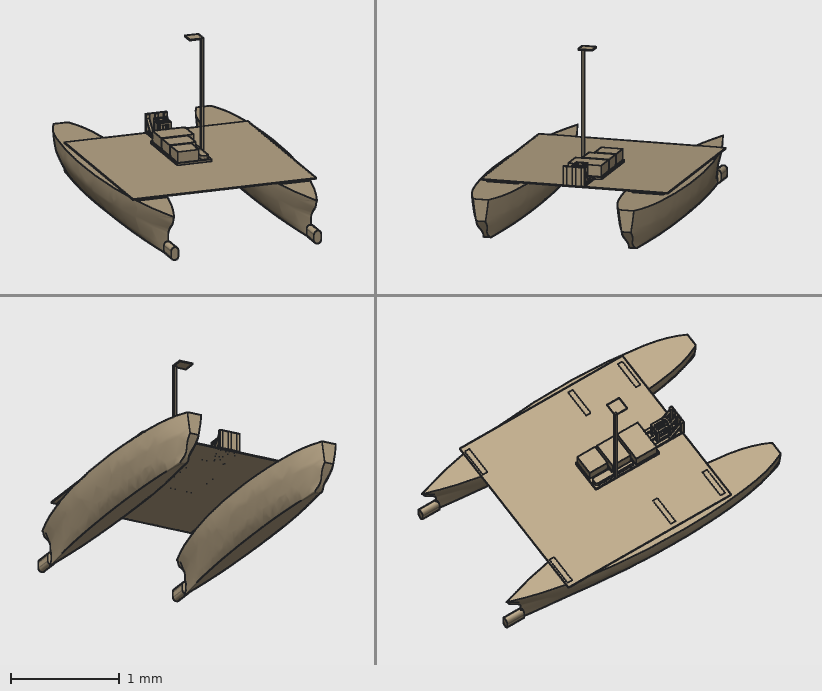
import cadquery as cq
HULL_SPACING = 1.4
HULL_HALF_BEAM = 0.255
HULL_HEIGHT = 0.41
TRANSOM_X = -1.5
FOREFOOT_X = 1.323

WATERLINES = [
    (0.0, -1.26, 0.018, 0.085, FOREFOOT_X),
    (0.035, -1.347, 0.025, 0.125, FOREFOOT_X),
    (0.115, -1.42, 0.035, 0.183, FOREFOOT_X),
    (0.205, -1.5, 0.045, 0.225, 1.332),
    (0.25, -1.53, 0.035, 0.243, 1.353),
    (0.315, -1.56, 0.027, HULL_HALF_BEAM, 1.425),
    (0.38, -1.585, 0.02, HULL_HALF_BEAM, 1.467),
    (HULL_HEIGHT, -1.59, 0.018, HULL_HALF_BEAM, 1.488),
]
SIDE_SHAPE = [(0.1, 0.61), (0.2, 0.83), (0.42, 1.0), (0.64, 0.89), (0.82, 0.58)]

TUBE_START_X = 1.31
TUBE_END_X = 1.5
TUBE_WIDTH = 0.072
TUBE_HEIGHT = 0.125

DECK_SIZE = 1.8
DECK_THICKNESS = 0.01
DECK_CENTER_X = 0.033
PAD_THICKNESS = 0.02
PAD_LENGTH = 0.05
PAD_WIDTH = 0.3
PAD_CENTERS_X = (-0.807, -0.258, 0.885)
DECK_BOTTOM = HULL_HEIGHT + PAD_THICKNESS
DECK_TOP = DECK_BOTTOM + DECK_THICKNESS

TRAY_X = (-0.56, 0.14)
TRAY_HALF_WIDTH = 0.168
TRAY_THICKNESS = 0.02
TRAY_TOP = DECK_TOP + TRAY_THICKNESS
BOX_HEIGHT = 0.105
BOX_NEAR_Y = -0.16
BOXES = [(-0.54, -0.312, 0.16), (-0.29, -0.09, 0.1), (-0.07, 0.13, 0.048)]
CANISTER_X = (-0.07, 0.123)
CANISTER_Y = (0.075, 0.147)
CANISTER_HEIGHT = 0.035
CANISTER_CORNER = 0.025
PIPE_X = (-0.29, -0.07)
PIPE_WIDTH = 0.03

MAST_TOP = 1.57
MAST_SIDE = 0.025
MAST_CORNER_X = -0.072
ANTENNA_SIDE = 0.135
ANTENNA_THICKNESS = 0.01

FRAME_START_X = -0.88
FRAME_TOP = 0.62
RAIL_WIDTH = 0.03
RAIL_OFFSET_Y = 0.087
PANEL_THICKNESS = 0.01
BRACE_TOP_Z = 0.582
BRACE_FOOT_X = -0.723
BRACE_THICKNESS = 0.018
CAGE_X = (-0.78, -0.615)
CAGE_HALF_WIDTH = 0.055
CAGE_TOP = 0.603
CAGE_BAR = 0.025


def block(x_range, y_range, z_range):
    """Box given by its extent along each axis."""
    return cq.Workplane("XY").box(
        x_range[1] - x_range[0],
        y_range[1] - y_range[0],
        z_range[1] - z_range[0],
        centered=False,
    ).translate((x_range[0], y_range[0], z_range[0]))


def waterline(z, stern_x, stern_half, half_beam, stem_x):
    """Closed hull outline at one height: flat stern, two curved sides, pointed stem."""
    length = stem_x - stern_x
    side = [(stern_x, stern_half)]
    side += [(stern_x + along * length, out * half_beam) for along, out in SIDE_SHAPE]
    side.append((stem_x, 0.0))
    port = cq.Edge.makeSpline([cq.Vector(x, y, z) for x, y in side])
    starboard = cq.Edge.makeSpline([cq.Vector(x, -y, z) for x, y in reversed(side)])
    stern = cq.Edge.makeLine(cq.Vector(stern_x, -stern_half, z), cq.Vector(stern_x, stern_half, z))
    return cq.Wire.assembleEdges([port, starboard, stern])


def make_shell():
    """Body lofted through the waterlines and cut off flat at the transom."""
    body = cq.Workplane(cq.Solid.makeLoft([waterline(*line) for line in WATERLINES]))
    stern_overhang = block(
        (TRANSOM_X - HULL_HALF_BEAM, TRANSOM_X),
        (-HULL_HALF_BEAM, HULL_HALF_BEAM),
        (0, HULL_HEIGHT),
    )
    return body.cut(stern_overhang)


def make_bow_tube():
    return (
        cq.Workplane("YZ", origin=(TUBE_START_X, 0, TUBE_HEIGHT / 2))
        .slot2D(TUBE_HEIGHT, TUBE_WIDTH, 90)
        .extrude(TUBE_END_X - TUBE_START_X)
    )


def make_hull(center_y):
    return make_shell().union(make_bow_tube()).translate((0, center_y, 0))


def make_deck():
    deck = (
        cq.Workplane("XY", origin=(DECK_CENTER_X, 0, DECK_BOTTOM))
        .rect(DECK_SIZE, DECK_SIZE)
        .extrude(DECK_THICKNESS)
    )
    pad_centers = [(x, side * HULL_SPACING / 2) for x in PAD_CENTERS_X for side in (-1, 1)]
    pads = (
        cq.Workplane("XY", origin=(0, 0, HULL_HEIGHT))
        .pushPoints(pad_centers)
        .rect(PAD_LENGTH, PAD_WIDTH)
        .extrude(PAD_THICKNESS)
    )
    return deck.union(pads)


def make_canister():
    """Low housing with rounded bow-side corners, and the slim pipe running sternward from it."""
    z_range = (TRAY_TOP, TRAY_TOP + CANISTER_HEIGHT)
    housing = block(CANISTER_X, CANISTER_Y, z_range).edges("|Z and >X").fillet(CANISTER_CORNER)
    pipe = block(PIPE_X, (CANISTER_Y[1] - PIPE_WIDTH, CANISTER_Y[1]), z_range)
    return housing.union(pipe)


def make_mast():
    corner_y = TRAY_HALF_WIDTH
    post = block(
        (MAST_CORNER_X - MAST_SIDE, MAST_CORNER_X),
        (corner_y - MAST_SIDE, corner_y),
        (TRAY_TOP, MAST_TOP),
    )
    antenna = block(
        (MAST_CORNER_X - ANTENNA_SIDE, MAST_CORNER_X),
        (corner_y - ANTENNA_SIDE, corner_y),
        (MAST_TOP - ANTENNA_THICKNESS, MAST_TOP),
    )
    return post.union(antenna)


def make_equipment():
    equipment = block(TRAY_X, (-TRAY_HALF_WIDTH, TRAY_HALF_WIDTH), (DECK_TOP, TRAY_TOP))
    for x_from, x_to, far_y in BOXES:
        equipment = equipment.union(
            block((x_from, x_to), (BOX_NEAR_Y, far_y), (TRAY_TOP, TRAY_TOP + BOX_HEIGHT))
        )
    return equipment.union(make_canister()).union(make_mast())


def make_frame_rib(center_y):
    """Rail along the deck with an upright post at its end and a sloping brace between them."""
    y_range = (center_y - RAIL_WIDTH / 2, center_y + RAIL_WIDTH / 2)
    post_back_x = FRAME_START_X + RAIL_WIDTH
    rail = block((FRAME_START_X, TRAY_X[0]), y_range, (DECK_TOP, TRAY_TOP))
    post = block((FRAME_START_X, post_back_x), y_range, (DECK_TOP, FRAME_TOP))
    brace = (
        cq.Workplane("XZ", origin=(0, y_range[1], 0))
        .moveTo(post_back_x, BRACE_TOP_Z)
        .lineTo(BRACE_FOOT_X, TRAY_TOP)
        .lineTo(BRACE_FOOT_X - BRACE_THICKNESS, TRAY_TOP)
        .lineTo(post_back_x, BRACE_TOP_Z - BRACE_THICKNESS)
        .close()
        .extrude(RAIL_WIDTH)
    )
    return rail.union(post).union(brace)


def make_cage():
    """Open box of square bars that straddles the middle rail."""
    y_range = (-CAGE_HALF_WIDTH, CAGE_HALF_WIDTH)
    inner_x = (CAGE_X[0] + CAGE_BAR, CAGE_X[1] - CAGE_BAR)
    inner_y = (y_range[0] + CAGE_BAR, y_range[1] - CAGE_BAR)
    inner_z = (TRAY_TOP, CAGE_TOP - CAGE_BAR)
    cage = block(CAGE_X, y_range, (DECK_TOP, CAGE_TOP))
    cage = cage.cut(block(CAGE_X, inner_y, inner_z))
    cage = cage.cut(block(inner_x, y_range, inner_z))
    return cage.cut(block(inner_x, inner_y, (DECK_TOP, CAGE_TOP)))


def make_docking_frame():
    """Upright end panel stiffened by three ribs, with the cage over the middle one."""
    half_width = RAIL_OFFSET_Y + RAIL_WIDTH / 2
    frame = block(
        (FRAME_START_X, FRAME_START_X + PANEL_THICKNESS),
        (-half_width, half_width),
        (DECK_TOP, FRAME_TOP),
    )
    for center_y in (-RAIL_OFFSET_Y, 0, RAIL_OFFSET_Y):
        frame = frame.union(make_frame_rib(center_y))
    return frame.union(make_cage())


hulls = [make_hull(side * HULL_SPACING / 2) for side in (-1, 1)]
deck = make_deck()
equipment = make_equipment()
docking_frame = make_docking_frame()

result = cq.Compound.makeCompound(
    [hull.val() for hull in hulls] + [deck.val(), equipment.val(), docking_frame.val()]
)